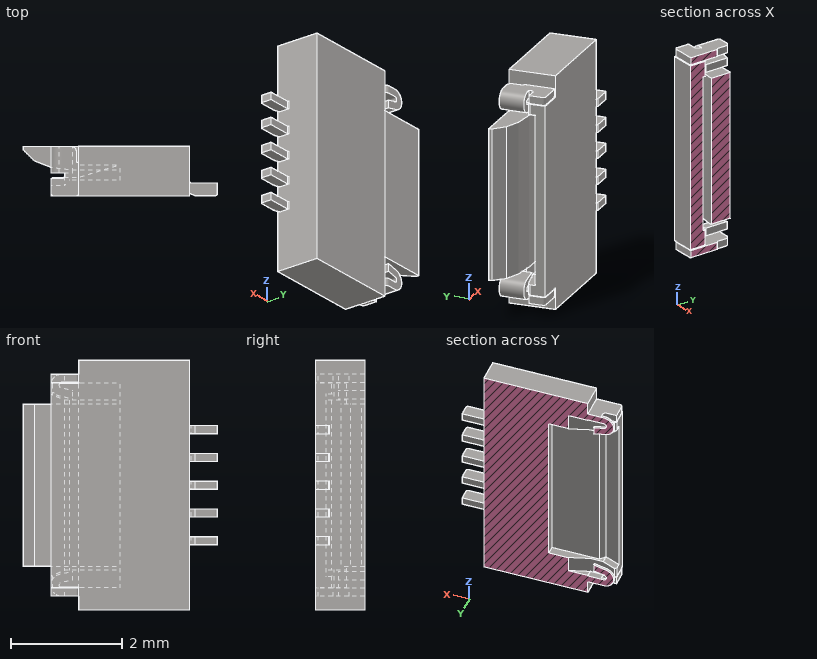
import cadquery as cq
import math

body_length = 2.0
body_depth = 0.9
body_height = 4.5
body_front_x = -0.75
body_back_x = body_front_x + body_length
outer_y = body_depth / 2

low_inset = 0.006
high_inset = 0.005
metal_low_y = -outer_y + low_inset
metal_high_y = outer_y - high_inset

overhang = 0.5
plate_front_x = body_front_x - overhang
plate_half_height = 1.838
plate_top_y = -0.255
plate_lead_in_height = 0.03
plate_lead_in_length = 0.02
plate_ramp = 0.07
plate_mouth_half_height = 1.64

side_top_y = -0.157
side_lead_in_height = 0.045
side_lead_in_length = 0.03

cavity_half_height = 1.53
cavity_roof_y = 0.115
cavity_back_x = 0.0
mouth_taper_length = 0.25

tongue_tip_x = body_front_x - 1.0
tongue_half_height = 1.46
tongue_tip_y = 0.385
tongue_break_x = tongue_tip_x + 0.205
tongue_break_y = 0.183
tongue_shoulder_x = tongue_break_x + 0.3
tongue_shoulder_y = 0.066
tongue_root_x = tongue_shoulder_x + 0.4
tongue_root_y = 0.018

strap_thickness = 0.15
strap_outer_z = 2.0
strap_front_radius = 0.05
strap_rear_radius = 0.04
strap_embed = 0.2
slot_low_y = -0.135
slot_high_y = -0.035
slot_length = 0.25
slot_corner_radius = 0.06
relief_x = body_front_x - 0.04
relief_low_y = 0.155
relief_neck_radius = 0.03
relief_top_radius = 0.09

roll_radius = 0.2
roll_inner_radius = roll_radius - strap_thickness
roll_centre_x = plate_front_x + roll_radius
roll_centre_z = strap_outer_z - roll_radius
leg_slope_angle = 12.0
leg_end_x = body_front_x - 0.11

contact_count = 5
contact_pitch = 0.5
contact_width = 0.15
contact_length = 0.5
contact_top_y = -0.21
contact_slope_length = 0.1
contact_slope_height = 0.04
contact_end_radius = 0.04
contact_root_flare = 0.02


def extrude_along_z(outline, z_low, z_high):
    """Extrude a closed XY outline between two heights."""
    return outline.extrude(z_high - z_low).translate((0, 0, z_low))


def block(x_low, x_high, y_low, y_high, z_low, z_high):
    size = (x_high - x_low, y_high - y_low, z_high - z_low)
    return cq.Workplane("XY").box(*size, centered=False).translate((x_low, y_low, z_low))


def mirrored_pair(solid):
    """The solid together with its mirror image across Z = 0."""
    return solid.union(solid.mirror("XY"))


def make_housing():
    """Body block with the bottom plate reaching out in front of it."""
    half_height = body_height / 2
    body = block(body_front_x, body_back_x, -outer_y, outer_y, -half_height, half_height)
    lead_in_end_x = plate_front_x + side_lead_in_length
    side_outline = (
        cq.Workplane("XY")
        .moveTo(plate_front_x, -outer_y)
        .lineTo(body_front_x, -outer_y)
        .lineTo(body_front_x, side_top_y + side_lead_in_height)
        .lineTo(lead_in_end_x, side_top_y + side_lead_in_height)
        .lineTo(plate_front_x, side_top_y)
        .close()
    )
    return body.union(extrude_along_z(side_outline, -plate_half_height, plate_half_height))


def make_cavity():
    """Mating space: a mouth that narrows inward, then a floor that steps up."""
    lead_in_start_x = plate_front_x + mouth_taper_length
    lead_in_end_x = lead_in_start_x + plate_lead_in_length
    lead_in_end_y = plate_top_y + plate_lead_in_height
    floor_outline = (
        cq.Workplane("XY")
        .moveTo(plate_front_x, plate_top_y)
        .lineTo(lead_in_start_x, plate_top_y)
        .lineTo(lead_in_end_x, lead_in_end_y)
        .lineTo(lead_in_end_x + plate_ramp, lead_in_end_y + plate_ramp)
        .lineTo(cavity_back_x, lead_in_end_y + plate_ramp)
        .lineTo(cavity_back_x, cavity_roof_y)
        .lineTo(plate_front_x, cavity_roof_y)
        .close()
    )
    tall_cut = extrude_along_z(floor_outline, -plate_half_height, plate_half_height)
    mouth = (
        cq.Workplane("XZ", origin=(0, outer_y, 0))
        .moveTo(plate_front_x, -plate_mouth_half_height)
        .lineTo(lead_in_start_x, -cavity_half_height)
        .lineTo(cavity_back_x, -cavity_half_height)
        .lineTo(cavity_back_x, cavity_half_height)
        .lineTo(lead_in_start_x, cavity_half_height)
        .lineTo(plate_front_x, plate_mouth_half_height)
        .close()
        .extrude(body_depth)
    )
    return tall_cut.intersect(mouth)


def make_side_pocket():
    """Space beside the cavity, with a floor rising to the cavity roof."""
    outline = (
        cq.Workplane("XY")
        .moveTo(body_front_x, side_top_y + side_lead_in_height)
        .lineTo(cavity_back_x, cavity_roof_y)
        .lineTo(body_front_x, cavity_roof_y)
        .close()
    )
    return extrude_along_z(outline, cavity_half_height, plate_half_height)


def make_tongue():
    """Wedge-nosed tongue running out of the body above the cavity."""
    outline = (
        cq.Workplane("XY")
        .moveTo(tongue_tip_x, metal_high_y)
        .lineTo(tongue_tip_x, tongue_tip_y)
        .lineTo(tongue_break_x, tongue_break_y)
        .lineTo(tongue_shoulder_x, tongue_shoulder_y)
        .lineTo(tongue_root_x, tongue_root_y)
        .lineTo(cavity_back_x, tongue_root_y)
        .lineTo(cavity_back_x, metal_high_y)
        .close()
    )
    return extrude_along_z(outline, -tongue_half_height, tongue_half_height)


def make_strap_sheet():
    """Flat part of a hold-down, with its slot and the relief beside the body."""
    z_low = strap_outer_z - strap_thickness
    slot_end_x = plate_front_x + slot_length
    lower_arm = block(plate_front_x, body_front_x, metal_low_y, slot_high_y, z_low, strap_outer_z)
    lower_arm = lower_arm.edges("|Z and <X and <Y").fillet(strap_front_radius)
    lower_arm = lower_arm.edges("|Z and >X and <Y").fillet(strap_rear_radius)
    upper_arm = block(roll_centre_x, body_front_x, slot_high_y, metal_high_y, z_low, strap_outer_z)
    slot = block(plate_front_x, slot_end_x, slot_low_y, slot_high_y, z_low, strap_outer_z)
    slot = slot.edges("|Z and >X and <Y").fillet(slot_corner_radius)
    relief_outline = (
        cq.Workplane("XY")
        .moveTo(body_front_x, relief_low_y)
        .lineTo(body_front_x, metal_high_y)
        .lineTo(relief_x - relief_top_radius, metal_high_y)
        .radiusArc((relief_x, metal_high_y - relief_top_radius), relief_top_radius)
        .lineTo(relief_x, relief_low_y + relief_neck_radius)
        .radiusArc((relief_x + relief_neck_radius, relief_low_y), -relief_neck_radius)
        .close()
    )
    relief = extrude_along_z(relief_outline, z_low, strap_outer_z)
    embed = block(body_front_x, body_front_x + strap_embed, slot_low_y, relief_low_y, z_low, strap_outer_z)
    return lower_arm.union(upper_arm).cut(slot).cut(relief).union(embed)


def make_strap_roll():
    """Rolled end of a hold-down: a half turn and a leg sloping toward mid height."""
    slope = math.radians(leg_slope_angle)

    def around_roll(radius, angle):
        return (roll_centre_x + radius * math.cos(angle), roll_centre_z + radius * math.sin(angle))

    end_angle = 3 * math.pi / 2 - slope
    outer_end = around_roll(roll_radius, end_angle)
    inner_end = around_roll(roll_inner_radius, end_angle)
    outer_drop = (leg_end_x - outer_end[0]) * math.tan(slope)
    inner_drop = (leg_end_x - inner_end[0]) * math.tan(slope)
    return (
        cq.Workplane("XZ", origin=(0, metal_high_y, 0))
        .moveTo(*around_roll(roll_radius, math.pi / 2))
        .threePointArc(around_roll(roll_radius, math.pi), outer_end)
        .lineTo(leg_end_x, outer_end[1] - outer_drop)
        .lineTo(leg_end_x, inner_end[1] - inner_drop)
        .lineTo(*inner_end)
        .threePointArc(around_roll(roll_inner_radius, math.pi), around_roll(roll_inner_radius, math.pi / 2))
        .close()
        .extrude(metal_high_y - slot_high_y)
    )


def make_contact(z_centre):
    """One solder tail leaving the back of the body."""
    tip_x = body_back_x + contact_length
    outline = (
        cq.Workplane("XY")
        .moveTo(body_back_x, metal_low_y + contact_slope_height)
        .lineTo(body_back_x + contact_slope_length, metal_low_y)
        .lineTo(tip_x - contact_end_radius, metal_low_y)
        .radiusArc((tip_x, metal_low_y + contact_end_radius), -contact_end_radius)
        .lineTo(tip_x, contact_top_y)
        .lineTo(body_back_x + contact_root_flare, contact_top_y)
        .lineTo(body_back_x, contact_top_y + contact_root_flare)
        .close()
    )
    return extrude_along_z(outline, z_centre - contact_width / 2, z_centre + contact_width / 2)


result = make_housing().cut(make_cavity()).cut(mirrored_pair(make_side_pocket()))
result = result.union(make_tongue())
result = result.union(mirrored_pair(make_strap_sheet().union(make_strap_roll())))
for index in range(contact_count):
    offset = index - (contact_count - 1) / 2
    result = result.union(make_contact(offset * contact_pitch))